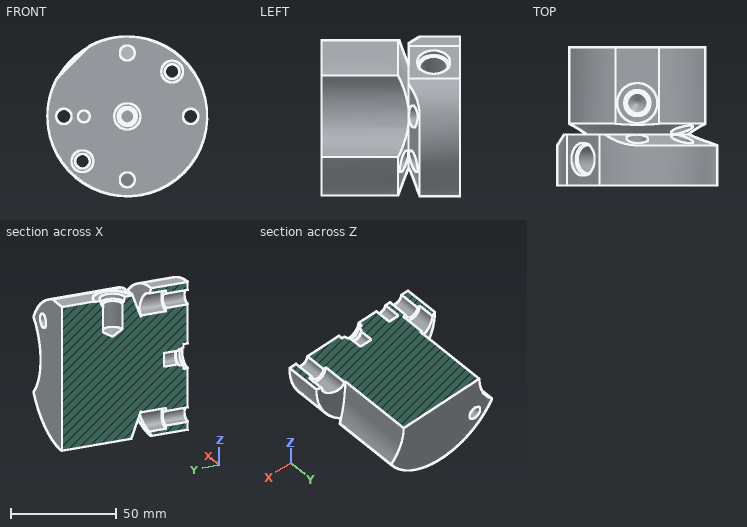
import cadquery as cq
import math

flange_radius = 38.1
block_radius = 37.8
waist_radius = 24.45
flange_rim_end = 19.2
waist_position = 24.45
block_start = 29.5
total_length = 66.0

block_flat_height = 36.35
scoop_radius = 27.05
scoop_depth_position = 24.3
flange_flat_distance = 36.5
boss_ramp_radius = 33.5

bolt_circle_radius = 30.2
flange_hole_radius = 3.6
flange_head_radius = 5.2
flange_head_seat = 11.4
bolt_hole_radius = 3.4
bolt_head_radius = 5.2
bolt_head_depth = 32.8
pin_hole_radius = 2.8
pin_hole_offset = 20.65
pin_hole_depth = 9.15

seat_angle = math.radians(12)
centre_port_spotface_radius = 6.25
centre_port_spotface_depth = 2.2
centre_port_mouth_radius = 4.6
centre_port_bore_radius = 3.35
centre_port_seat_depth = 2.2
centre_port_depth = 12.2

side_port_position = 12.6
side_port_mouth_radius = 7.85
side_port_bore_radius = 6.7
side_port_seat_depth = 2.5
side_port_depth = 16.0

top_port_position = 39.3
top_port_spotface_radius = 9.5
top_port_spotface_depth = 0.3
top_port_mouth_radius = 6.25
top_port_bore_radius = 4.9
top_port_seat_depth = 2.4
top_port_depth = 16.8
drill_point_angle = math.radians(118 / 2)

clear = 2 * flange_radius


def cylinder(radius, length, base, direction):
    solid = cq.Solid.makeCylinder(radius, length, cq.Vector(*base), cq.Vector(*direction))
    return cq.Workplane(obj=solid)


def along_y(radius, length, x=0.0, z=0.0):
    """Cylinder parallel to Y that starts in the front face."""
    return cylinder(radius, length, (x, 0, z), (0, 1, 0))


def boss_ramp():
    """Cutter for one shoulder of the boss: a round ramp that meets the groove floor on the +Z side."""
    rise = waist_position - flange_rim_end
    run = flange_radius - waist_radius
    floor_length = math.hypot(rise, run)
    floor = cq.Vector(0, -rise / floor_length, run / floor_length)
    normal = cq.Vector(0, run / floor_length, rise / floor_length)
    start = cq.Vector(0, waist_position, waist_radius) + normal * boss_ramp_radius - floor * clear
    return cylinder(boss_ramp_radius, 2 * clear, start.toTuple(), floor.toTuple())


def make_boss():
    """Full-height stretch of the flange between -X and +Z, with a ramp at each end."""
    ramp = boss_ramp()
    mirrored_ramp = ramp.mirror("XY").rotate((0, 0, 0), (0, 1, 0), 90)
    quarter = cq.Workplane("XY").box(clear, clear, clear, centered=False).translate((-clear, 0, 0))
    return along_y(flange_radius, waist_position).intersect(quarter).cut(ramp).cut(mirrored_ramp)


def make_flange():
    """Flange with a conical groove face, the flat boss and four holes counterbored from the groove."""
    flange = (
        cq.Workplane("XY")
        .lineTo(flange_radius, 0)
        .lineTo(flange_radius, flange_rim_end)
        .lineTo(waist_radius, waist_position)
        .lineTo(0, waist_position)
        .close()
        .revolve(360, (0, 0, 0), (0, 1, 0))
    )
    flange = flange.union(make_boss())
    flat = (
        cq.Workplane("XY")
        .box(clear, clear, clear, centered=(True, True, False))
        .translate((0, 0, flange_flat_distance))
        .rotate((0, 0, 0), (0, 1, 0), -45)
    )
    flange = flange.cut(flat)
    hole = along_y(flange_hole_radius, waist_position, bolt_circle_radius)
    head = along_y(flange_head_radius, waist_position, bolt_circle_radius)
    stepped_hole = hole.union(head.translate((0, flange_head_seat, 0)))
    for quarter_turn in range(4):
        flange = flange.cut(stepped_hole.rotate((0, 0, 0), (0, 1, 0), 90 * quarter_turn))
    return flange


def make_block():
    """Rear block: conical front, flat top and a scoop along each side."""
    block = (
        cq.Workplane("XY")
        .moveTo(0, waist_position)
        .lineTo(waist_radius, waist_position)
        .lineTo(block_radius, block_start)
        .lineTo(block_radius, total_length)
        .lineTo(0, total_length)
        .close()
        .revolve(360, (0, 0, 0), (0, 1, 0))
    )
    flat = cq.Workplane("XY").box(clear, 2 * clear, clear, centered=(True, True, False))
    block = block.cut(flat.translate((0, 0, block_flat_height)))
    for side in (-1, 1):
        scoop_axis = side * (scoop_depth_position + scoop_radius)
        scoop_base = (scoop_axis, waist_position, 0)
        block = block.cut(cylinder(scoop_radius, total_length, scoop_base, (0, 1, 0)))
    return block


def port(mouth_radius, bore_radius, seat_depth, depth, spotface_radius=0, spotface_depth=0, point=0):
    """Port that opens at the origin and runs to -Z: spotface, tapered seat, 45 degree step, bore."""
    seat_radius = mouth_radius - seat_depth * math.tan(seat_angle)
    seat_end = spotface_depth + seat_depth
    outline = [(0, 0)]
    if spotface_depth:
        outline += [(spotface_radius, 0), (spotface_radius, -spotface_depth)]
    outline += [
        (mouth_radius, -spotface_depth),
        (seat_radius, -seat_end),
        (bore_radius, -seat_end - (seat_radius - bore_radius)),
        (bore_radius, -depth),
        (0, -depth - point),
    ]
    return cq.Workplane("XZ").polyline(outline).close().revolve(360, (0, 0, 0), (0, 1, 0))


def centre_port():
    shape = port(
        centre_port_mouth_radius,
        centre_port_bore_radius,
        centre_port_seat_depth,
        centre_port_depth,
        centre_port_spotface_radius,
        centre_port_spotface_depth,
    )
    return shape.rotate((0, 0, 0), (1, 0, 0), 90)


def side_port():
    shape = port(side_port_mouth_radius, side_port_bore_radius, side_port_seat_depth, side_port_depth)
    shape = shape.translate((0, side_port_position, flange_flat_distance))
    return shape.rotate((0, 0, 0), (0, 1, 0), -45)


def top_port():
    shape = port(
        top_port_mouth_radius,
        top_port_bore_radius,
        top_port_seat_depth,
        top_port_depth,
        top_port_spotface_radius,
        top_port_spotface_depth,
        top_port_bore_radius / math.tan(drill_point_angle),
    )
    return shape.translate((0, top_port_position, block_flat_height))


result = make_flange().union(make_block())

bolt_offset = bolt_circle_radius / math.sqrt(2)
for offset in (-bolt_offset, bolt_offset):
    result = result.cut(along_y(bolt_hole_radius, total_length, offset, offset))
    result = result.cut(along_y(bolt_head_radius, bolt_head_depth, offset, offset))

result = result.cut(along_y(pin_hole_radius, pin_hole_depth, -pin_hole_offset, 0))
result = result.cut(centre_port()).cut(side_port()).cut(top_port())